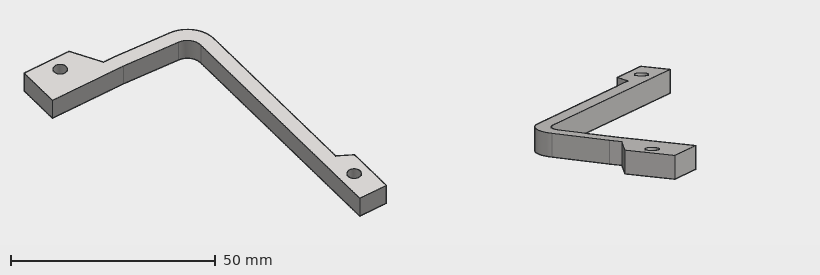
import cadquery as cq
import math

length = 84.0
depth = 49.0
thickness = 6.0

arm_width = 4.0
inner_radius = 4.0
outer_radius = inner_radius + arm_width
lean_angle = math.radians(3.0)
kink_y = 21.4

foot_width = 12.0
pad_straight = 13.5
shoulder_angle = math.radians(30.0)
pad_rise = 4.0
pad_width = arm_width + pad_rise

hole_diameter = 3.5
hole_edge = 4.0
hole_end = 8.0
hole_centers = [(hole_edge, hole_end), (length - hole_end, depth - hole_edge)]

long_inner_y = depth - pad_width
long_outer_y = long_inner_y + arm_width
short_outer_x = foot_width - arm_width

bend_y = long_inner_y - inner_radius
outer_bend_end_y = bend_y + outer_radius * math.sin(lean_angle)
outer_bend_end_x = short_outer_x + (outer_bend_end_y - kink_y) * math.tan(lean_angle)
bend_x = outer_bend_end_x + outer_radius * math.cos(lean_angle)

inner_kink_y = kink_y - arm_width * math.tan(lean_angle / 2)


def bend_point(radius, angle):
    """Point on the bend, with the angle measured clockwise from the -X direction."""
    return (bend_x - radius * math.cos(angle), bend_y + radius * math.sin(angle))


def make_bracket():
    """Flat bent arm with a pad at each end."""
    right_angle = math.pi / 2
    mid_angle = (lean_angle + right_angle) / 2
    foot_shoulder_y = pad_straight + short_outer_x * math.tan(shoulder_angle)
    pad_start_x = length - pad_straight
    pad_shoulder_x = pad_start_x - pad_rise * math.tan(shoulder_angle)
    return (
        cq.Workplane("XY")
        .moveTo(0, 0)
        .lineTo(foot_width, 0)
        .lineTo(foot_width, inner_kink_y)
        .lineTo(*bend_point(inner_radius, lean_angle))
        .threePointArc(bend_point(inner_radius, mid_angle), bend_point(inner_radius, right_angle))
        .lineTo(length, long_inner_y)
        .lineTo(length, depth)
        .lineTo(pad_start_x, depth)
        .lineTo(pad_shoulder_x, long_outer_y)
        .lineTo(*bend_point(outer_radius, right_angle))
        .threePointArc(bend_point(outer_radius, mid_angle), bend_point(outer_radius, lean_angle))
        .lineTo(short_outer_x, kink_y)
        .lineTo(short_outer_x, foot_shoulder_y)
        .lineTo(0, pad_straight)
        .close()
        .extrude(thickness)
    )


def make_holes():
    """Through holes for the two pads."""
    return cq.Workplane("XY").pushPoints(hole_centers).circle(hole_diameter / 2).extrude(thickness)


result = make_bracket().cut(make_holes())